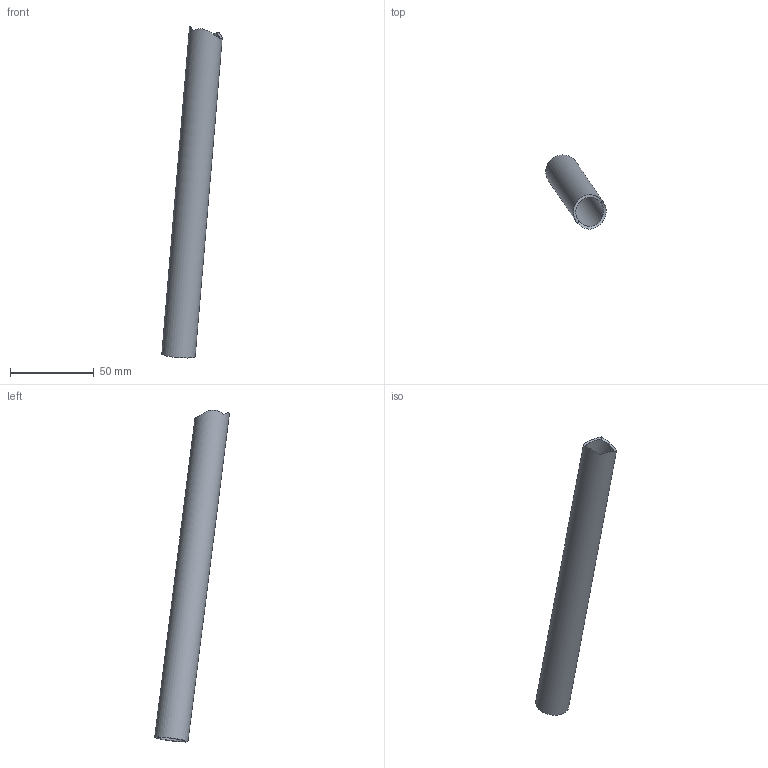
import cadquery as cq
import math

outer_radius = 10.0
wall = 1.5
lean_x = 0.0848
lean_y = -0.1262

mirror_angle = 220.7
saddle_angle = 125.4
saddle_slope = -3.0
saddle_radius = 13.25
saddle_offset = 0.6
saddle_floor = 192.7
saddle_height = saddle_floor + saddle_radius
cutter_length = 6 * outer_radius


def make_tube():
    """Square-ended tube standing on Z, as tall as the saddle axes."""
    return cq.Workplane("XY").circle(outer_radius).circle(outer_radius - wall).extrude(saddle_height)


def make_saddle_cutter():
    """Cross cylinder kept only on the +Y side of the mirror plane, which lies here on XZ."""
    angle = math.radians(saddle_angle)
    slope = math.radians(saddle_slope)
    sideways = cq.Vector(-math.sin(angle), math.cos(angle), 0)
    along = cq.Vector(
        math.cos(slope) * math.cos(angle),
        math.cos(slope) * math.sin(angle),
        math.sin(slope),
    )
    center = sideways * saddle_offset + cq.Vector(0, 0, saddle_height)
    start = center - along * (cutter_length / 2)
    cylinder = cq.Solid.makeCylinder(saddle_radius, cutter_length, start, along)
    half_space = (
        cq.Workplane("XY", origin=(0, 0, saddle_height))
        .box(2 * cutter_length, cutter_length, cutter_length, centered=(True, False, True))
    )
    return half_space.intersect(cq.Workplane(cylinder))


def cope_end(tube):
    """Cut the two mirrored saddles and turn the mirror plane to its true direction."""
    cutter = make_saddle_cutter()
    coped = tube.cut(cutter).cut(cutter.mirror("XZ"))
    return coped.rotate((0, 0, 0), (0, 0, 1), mirror_angle)


def lean(tube):
    """Tip the tube from Z onto its leaning axis, without twisting it about that axis."""
    axis = cq.Vector(lean_x, lean_y, 1).normalized()
    local_x = cq.Vector(1, 0, 0) - axis * axis.x
    frame = cq.Plane(origin=(0, 0, 0), xDir=local_x, normal=axis)
    return cq.Workplane(tube.val().moved(cq.Location(frame)))


result = lean(cope_end(make_tube()))